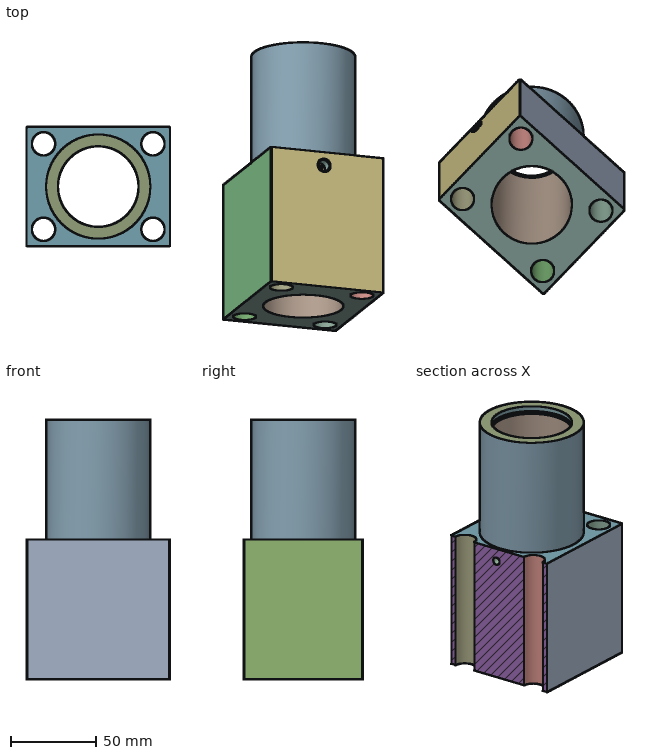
import cadquery as cq
import math

block_length = 84.0
block_width = 70.0
block_height = 82.0
corner_chamfer = 0.5

total_height = 152.0
tube_diameter = 61.0

bore_diameter = 47.0
groove_diameter = 49.5
groove_width = 1.85
groove_depth_below_top = 3.0

mount_hole_diameter = 13.5
mount_spacing_x = 64.0
mount_spacing_y = 50.0

port_y = 2.0
port_depth_below_top = 8.0
port_mouth_diameter = 8.0
port_diameter = 6.917
port_chamfer = (port_mouth_diameter - port_diameter) / 2
port_straight_end = 8.0
passage_diameter = 4.3
port_cone_half_angle = 60.0
port_step = (port_diameter - passage_diameter) / 2
port_cone_length = port_step / math.tan(math.radians(port_cone_half_angle))
port_cone_end = port_straight_end + port_cone_length


def make_body():
    """Block with chamfered upright edges, carrying the round tube."""
    block = (
        cq.Workplane("XY")
        .box(block_length, block_width, block_height, centered=(True, True, False))
        .edges("|Z")
        .chamfer(corner_chamfer)
    )
    tube = cq.Workplane("XY").circle(tube_diameter / 2).extrude(total_height)
    return block.union(tube)


def make_bore():
    """Through bore and the ring groove near its upper end."""
    bore = cq.Workplane("XY").circle(bore_diameter / 2).extrude(total_height)
    groove = (
        cq.Workplane("XY", origin=(0, 0, total_height - groove_depth_below_top))
        .circle(groove_diameter / 2)
        .extrude(-groove_width)
    )
    return bore.union(groove)


def make_mount_holes():
    """Through holes at the four corners of the block."""
    return (
        cq.Workplane("XY")
        .rect(mount_spacing_x, mount_spacing_y, forConstruction=True)
        .vertices()
        .circle(mount_hole_diameter / 2)
        .extrude(block_height)
    )


def make_port():
    """Chamfered mouth, straight hole, cone and narrow passage, revolved about an X line."""
    passage_end = block_length / 2
    profile = (
        cq.Workplane("XY")
        .moveTo(0, 0)
        .lineTo(0, port_mouth_diameter / 2)
        .lineTo(port_chamfer, port_diameter / 2)
        .lineTo(port_straight_end, port_diameter / 2)
        .lineTo(port_cone_end, passage_diameter / 2)
        .lineTo(passage_end, passage_diameter / 2)
        .lineTo(passage_end, 0)
        .close()
    )
    port = profile.revolve(360, (0, 0, 0), (1, 0, 0))
    return port.translate((-block_length / 2, port_y, block_height - port_depth_below_top))


result = make_body().cut(make_bore()).cut(make_mount_holes()).cut(make_port())